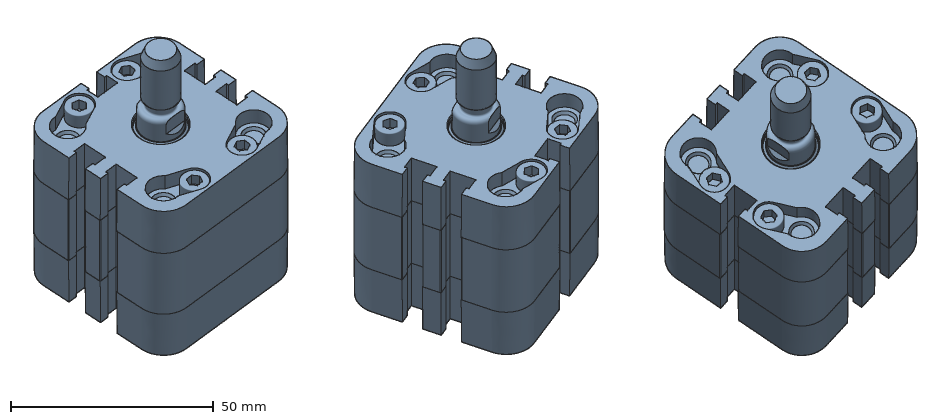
import cadquery as cq
import math


TOTAL_HEIGHT = 74.5
BODY_WIDTH = 49.0
BODY_HEIGHT = 49.0
CAP_HEIGHT = 14.15
BARREL_HEIGHT = BODY_HEIGHT - 2 * CAP_HEIGHT
CORNER_DIA = 15.8
CAP_DRAFT_INSET = 0.15
CAP_DRAFT_ANGLE = math.degrees(math.atan(CAP_DRAFT_INSET / CAP_HEIGHT))
HALF_WIDTH = BODY_WIDTH / 2
CUT_MARGIN = 0.75

SLOT_MOUTH = 5.6
SLOT_WIDTH = 7.1
SLOT_LIP = 2.8
SLOT_DEPTH = 6.55
SLOT_PAIR_SPACING = 10.7
BARREL_LIP_CHAMFER = 0.2

POCKET_CENTRE = 16.25
POCKET_DEPTH = 4.5
POCKET_CORNER_DIA = 9.0
POCKET_SCREW_DIA = 7.9
SCREW_X = 19.5
SCREW_Y = 8.6
SCREW_HEAD_DIA = 7.5
SCREW_HEAD_HEIGHT = 4.0
SCREW_HEAD_FILLET = 0.2
SOCKET_ACROSS_CORNERS = 4.0
SOCKET_DEPTH = 3.0
RECESS_TOP_DIA = 6.3
RECESS_FLOOR_DIA = 5.2
RECESS_DEPTH = 0.8
CORNERS = [(-1, 1, -7), (1, 1, -5), (-1, -1, 17), (1, -1, 34)]

ROD_DIA = 12.0
GLAND_DIA = 14.0
GLAND_MOUTH_DIA = 14.5
GLAND_DEPTH = 1.35
GLAND_CHAMFER = (GLAND_MOUTH_DIA - GLAND_DIA) / 2
LIP_BASE_DIA = 13.7
LIP_TOP_DIA = 12.5
LIP_BELOW_FACE = 0.3
LIP_CONE_HEIGHT = 0.6

THREAD_DIA = 10.0
TIP_DIA = 7.9
TIP_LENGTH = 2.7
THREAD_BOTTOM_Z = 58.1
THREAD_END_CHAMFER = 0.45
NECK_DIA = 7.9
NECK_FILLET = 0.5
SHOULDER_Z = 55.5
SHOULDER_FILLET = 1.2
FLAT_WIDTH = 10.0
FLAT_BOTTOM_Z = 51.25
ROD_BOTTOM_Z = BODY_HEIGHT - CAP_HEIGHT


def body_block(bottom_z, height, draft_angle=0.0):
    """Rounded square block that narrows upward by the draft angle."""
    return (
        cq.Workplane("XY")
        .workplane(offset=bottom_z)
        .sketch()
        .rect(BODY_WIDTH, BODY_WIDTH)
        .vertices()
        .fillet(CORNER_DIA / 2)
        .finalize()
        .extrude(height, taper=draft_angle)
    )


def t_slot_cutter(side_angle, offset, lip_chamfer):
    """Full-height T-slot opening to +Y, shifted sideways, then turned to its side."""
    half_mouth = SLOT_MOUTH / 2
    half_slot = SLOT_WIDTH / 2
    lip_y = HALF_WIDTH - SLOT_LIP
    floor_y = HALF_WIDTH - SLOT_DEPTH
    outside_y = HALF_WIDTH + CUT_MARGIN
    right_half = [(half_slot, floor_y), (half_slot, lip_y), (half_mouth, lip_y)]
    if lip_chamfer:
        right_half.append((half_mouth, HALF_WIDTH - lip_chamfer))
        right_half.append((half_mouth + lip_chamfer, HALF_WIDTH))
        right_half.append((half_mouth + lip_chamfer, outside_y))
    else:
        right_half.append((half_mouth, outside_y))
    left_half = [(-x, y) for x, y in reversed(right_half)]
    return (
        cq.Workplane("XY")
        .polyline(right_half + left_half)
        .close()
        .extrude(BODY_HEIGHT)
        .translate((offset, 0, 0))
        .rotate((0, 0, 0), (0, 0, 1), side_angle)
    )


def cut_t_slots(body, lip_chamfer=0.0):
    """Two slots on the front and back sides, one on the -X side."""
    half_pair = SLOT_PAIR_SPACING / 2
    slots = [(0, -half_pair), (0, half_pair), (180, -half_pair), (180, half_pair), (90, 0)]
    for side_angle, offset in slots:
        body = body.cut(t_slot_cutter(side_angle, offset, lip_chamfer))
    return body


def make_barrel():
    return cut_t_slots(body_block(CAP_HEIGHT, BARREL_HEIGHT), BARREL_LIP_CHAMFER)


def make_plain_cap():
    """Cap with its wide face down at Z = 0 and its drafted outer end up."""
    return cut_t_slots(body_block(0, CAP_HEIGHT, CAP_DRAFT_ANGLE))


def make_lower_cap():
    return make_plain_cap().mirror("XY").translate((0, 0, CAP_HEIGHT))


def disc(x, y, bottom_z, diameter, height):
    return cq.Workplane("XY").workplane(offset=bottom_z).center(x, y).circle(diameter / 2).extrude(height)


def cone(x, y, bottom_z, bottom_dia, top_dia, height):
    solid = cq.Solid.makeCone(bottom_dia / 2, top_dia / 2, height, pnt=cq.Vector(x, y, bottom_z))
    return cq.Workplane(obj=solid)


def add_corner_pocket(cap, x_side, y_side, socket_angle):
    """Keyhole-shaped pocket holding a tapered mounting recess and a screw head."""
    hole_x = x_side * POCKET_CENTRE
    hole_y = y_side * POCKET_CENTRE
    screw_x = x_side * SCREW_X
    screw_y = y_side * SCREW_Y
    floor_z = BODY_HEIGHT - POCKET_DEPTH
    run_x = hole_x - screw_x
    run_y = hole_y - screw_y

    channel = (
        cq.Workplane("XY")
        .workplane(offset=floor_z)
        .center((hole_x + screw_x) / 2, (hole_y + screw_y) / 2)
        .slot2D(math.hypot(run_x, run_y) + POCKET_SCREW_DIA, POCKET_SCREW_DIA,
                math.degrees(math.atan2(run_y, run_x)))
        .extrude(POCKET_DEPTH)
    )
    round_end = disc(hole_x, hole_y, floor_z, POCKET_CORNER_DIA, POCKET_DEPTH)
    recess = cone(hole_x, hole_y, floor_z - RECESS_DEPTH, RECESS_FLOOR_DIA, RECESS_TOP_DIA, RECESS_DEPTH)

    head_top_z = floor_z + SCREW_HEAD_HEIGHT
    screw_head = disc(screw_x, screw_y, floor_z, SCREW_HEAD_DIA, SCREW_HEAD_HEIGHT)
    screw_head = screw_head.faces(">Z").edges().fillet(SCREW_HEAD_FILLET)
    socket = (
        cq.Workplane("XY")
        .polygon(6, SOCKET_ACROSS_CORNERS)
        .extrude(SOCKET_DEPTH)
        .rotate((0, 0, 0), (0, 0, 1), socket_angle)
        .translate((screw_x, screw_y, head_top_z - SOCKET_DEPTH))
    )
    return cap.cut(channel).cut(round_end).cut(recess).union(screw_head.cut(socket))


def add_rod_gland(cap):
    """Chamfered counterbore with a conical wiper lip, and the rod bore below it."""
    floor_z = BODY_HEIGHT - GLAND_DEPTH
    gland = disc(0, 0, floor_z, GLAND_DIA, GLAND_DEPTH)
    chamfer = cone(0, 0, BODY_HEIGHT - GLAND_CHAMFER, GLAND_DIA, GLAND_MOUTH_DIA, GLAND_CHAMFER)

    lip_top_z = BODY_HEIGHT - LIP_BELOW_FACE
    cone_base_z = lip_top_z - LIP_CONE_HEIGHT
    lip_base = disc(0, 0, floor_z, LIP_BASE_DIA, cone_base_z - floor_z)
    lip_cone = cone(0, 0, cone_base_z, LIP_BASE_DIA, LIP_TOP_DIA, LIP_CONE_HEIGHT)

    rod_bore = disc(0, 0, ROD_BOTTOM_Z, ROD_DIA, CAP_HEIGHT)
    return cap.cut(gland).cut(chamfer).union(lip_base).union(lip_cone).cut(rod_bore)


def make_upper_cap():
    cap = make_plain_cap().translate((0, 0, BODY_HEIGHT - CAP_HEIGHT))
    for x_side, y_side, socket_angle in CORNERS:
        cap = add_corner_pocket(cap, x_side, y_side, socket_angle)
    return add_rod_gland(cap)


def concave_fillet_middle(centre_r, centre_z, up):
    """Midpoint of a quarter-round blending the neck into the face above or below it."""
    reach = NECK_FILLET * math.sqrt(0.5)
    return (centre_r - reach, centre_z + up * reach)


def flat_cutter(x_side):
    """Wrench flat on one side, running out at its lower end through a 45 degree slope."""
    flat_x = FLAT_WIDTH / 2
    outer_x = ROD_DIA / 2 + CUT_MARGIN
    runout = outer_x - flat_x
    return (
        cq.Workplane("XZ")
        .polyline([
            (x_side * flat_x, FLAT_BOTTOM_Z),
            (x_side * outer_x, FLAT_BOTTOM_Z - runout),
            (x_side * outer_x, SHOULDER_Z),
            (x_side * flat_x, SHOULDER_Z),
        ])
        .close()
        .extrude(ROD_DIA / 2, both=True)
    )


def make_rod():
    """Turned profile with a round shoulder, thread undercut and tapered tip."""
    rod_r = ROD_DIA / 2
    thread_r = THREAD_DIA / 2
    neck_r = NECK_DIA / 2
    fillet_r = neck_r + NECK_FILLET
    round_reach = SHOULDER_FILLET * math.sqrt(0.5)
    round_r = rod_r - SHOULDER_FILLET
    round_z = SHOULDER_Z - SHOULDER_FILLET
    lower_z = SHOULDER_Z + NECK_FILLET
    upper_z = THREAD_BOTTOM_Z - NECK_FILLET

    profile = (
        cq.Workplane("XZ")
        .moveTo(0, ROD_BOTTOM_Z)
        .lineTo(rod_r, ROD_BOTTOM_Z)
        .lineTo(rod_r, round_z)
        .threePointArc((round_r + round_reach, round_z + round_reach), (round_r, SHOULDER_Z))
        .lineTo(fillet_r, SHOULDER_Z)
        .threePointArc(concave_fillet_middle(fillet_r, lower_z, -1), (neck_r, lower_z))
        .lineTo(neck_r, upper_z)
        .threePointArc(concave_fillet_middle(fillet_r, upper_z, 1), (fillet_r, THREAD_BOTTOM_Z))
        .lineTo(thread_r - THREAD_END_CHAMFER, THREAD_BOTTOM_Z)
        .lineTo(thread_r, THREAD_BOTTOM_Z + THREAD_END_CHAMFER)
        .lineTo(thread_r, TOTAL_HEIGHT - TIP_LENGTH)
        .lineTo(TIP_DIA / 2, TOTAL_HEIGHT)
        .lineTo(0, TOTAL_HEIGHT)
        .close()
    )
    rod = profile.revolve(360, (0, 0, 0), (0, 1, 0))
    for x_side in (-1, 1):
        rod = rod.cut(flat_cutter(x_side))
    return rod


lower_cap = make_lower_cap()
barrel = make_barrel()
upper_cap = make_upper_cap()
rod = make_rod()

bodies = [lower_cap, barrel, upper_cap, rod]
result = cq.Compound.makeCompound([body.solids().val() for body in bodies])